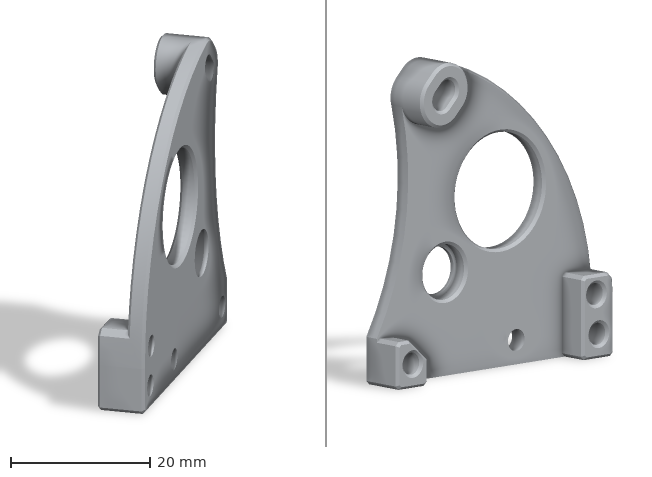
import cadquery as cq
import math

WIDTH = 42.15
HEIGHT = 46.5
DEPTH = 7.05
PAD_HEIGHT = 4.4
EDGE_CHAMFER = 0.4
CORNER_CHAMFER = 0.55

BOSS_DIAMETER = 8.1
SLOT_WIDTH = 3.2
SLOT_TRAVEL = 1.2
BOSS_REACH = BOSS_DIAMETER / 2
BOSS_LEFT = 4.7
BOSS_LOW = (BOSS_LEFT + BOSS_REACH, HEIGHT - BOSS_REACH - SLOT_TRAVEL)
BOSS_HIGH = (BOSS_LOW[0] + SLOT_TRAVEL, BOSS_LOW[1] + SLOT_TRAVEL)

SIDE_HEIGHT = 7.0
OUTER_ARC_MIDDLE = (34.15, 31.4)
OUTER_ARC_END_ANGLE = 75
INNER_ARC_MIDDLE = (6.1, 29.3)
INNER_ARC_END_ANGLE = 196

SMALL_BLOCK_WIDTH = 6.0
SMALL_BLOCK_TOP_WIDTH = 2.45
SMALL_BLOCK_SHOULDER = 3.8
TALL_BLOCK_START = 35.95
TALL_BLOCK_HEIGHT = 12.3
TALL_BLOCK_CORNER = 1.1
TRIM_MARGIN = 0.45

SCREW_DIAMETER = 3.2
SCREW_ROW_HEIGHT = 3.55
BLOCK_HOLES = [(3.0, SCREW_ROW_HEIGHT), (39.1, SCREW_ROW_HEIGHT), (38.6, 9.4)]
PLAIN_HOLE = (27.07, SCREW_ROW_HEIGHT)
WINDOW_CENTRE = (23.95, 25.7)
WINDOW_DIAMETER = 17.0
BEARING_CENTRE = (13.25, 15.05)
BEARING_DIAMETER = 8.1
BEARING_BORE = 7.0
BEARING_DEPTH = 2.0


def at(point):
    """Turn (distance from the Y = 0 side, Z) into YZ coordinates."""
    return (-point[0], point[1])


def on_boss(centre, angle):
    """Point on the boss side wall, in YZ; 0 degrees points along -Y and 90 degrees along +Z."""
    turn = math.radians(angle)
    return at((centre[0] + BOSS_REACH * math.cos(turn), centre[1] + BOSS_REACH * math.sin(turn)))


def sketch_plane(x):
    return cq.Workplane("YZ", origin=(x, 0, 0))


def outline_below_boss(x):
    """Open plate outline, from the boss end of the inner arc around to that of the outer arc."""
    return (
        sketch_plane(x)
        .moveTo(*on_boss(BOSS_LOW, INNER_ARC_END_ANGLE))
        .threePointArc(at(INNER_ARC_MIDDLE), at((0, SIDE_HEIGHT)))
        .lineTo(*at((0, CORNER_CHAMFER)))
        .lineTo(*at((CORNER_CHAMFER, 0)))
        .lineTo(*at((WIDTH - CORNER_CHAMFER, 0)))
        .lineTo(*at((WIDTH, CORNER_CHAMFER)))
        .lineTo(*at((WIDTH, SIDE_HEIGHT)))
        .threePointArc(at(OUTER_ARC_MIDDLE), on_boss(BOSS_HIGH, OUTER_ARC_END_ANGLE))
    )


def envelope():
    """Whole outline, rounded around the boss, at full depth with its back edge chamfered."""
    return (
        outline_below_boss(0)
        .threePointArc(on_boss(BOSS_HIGH, 105), on_boss(BOSS_HIGH, 135))
        .lineTo(*on_boss(BOSS_LOW, 135))
        .threePointArc(on_boss(BOSS_LOW, 165), on_boss(BOSS_LOW, INNER_ARC_END_ANGLE))
        .close()
        .extrude(DEPTH)
        .faces(">X").edges().chamfer(EDGE_CHAMFER)
    )


def plate():
    """Plate up to the boss, with the front edge of its outer arc chamfered."""
    outer_arc = cq.selectors.NearestToPointSelector((PAD_HEIGHT, *at(OUTER_ARC_MIDDLE)))
    return (
        outline_below_boss(PAD_HEIGHT)
        .lineTo(*at(BOSS_HIGH))
        .lineTo(*at(BOSS_LOW))
        .close()
        .extrude(DEPTH - PAD_HEIGHT)
        .faces("<X").edges(outer_arc).chamfer(EDGE_CHAMFER)
    )


def stadium(diameter, x, depth, taper=0):
    """Stadium prism around the two boss centres."""
    middle = ((BOSS_LOW[0] + BOSS_HIGH[0]) / 2, (BOSS_LOW[1] + BOSS_HIGH[1]) / 2)
    length = diameter + SLOT_TRAVEL * math.sqrt(2)
    return sketch_plane(x).center(*at(middle)).slot2D(length, diameter, 135).extrude(depth, taper=taper)


def block(points):
    """Block trimmed to the plate outline, with its front face chamfered."""
    prism = sketch_plane(0).polyline([at(p) for p in points]).close().extrude(DEPTH)
    return prism.intersect(envelope()).faces("<X").edges().chamfer(EDGE_CHAMFER)


def small_block():
    return block([
        (0, 0),
        (SMALL_BLOCK_WIDTH - CORNER_CHAMFER, 0),
        (SMALL_BLOCK_WIDTH, CORNER_CHAMFER),
        (SMALL_BLOCK_WIDTH, SMALL_BLOCK_SHOULDER),
        (SMALL_BLOCK_TOP_WIDTH, SIDE_HEIGHT),
        (CORNER_CHAMFER, SIDE_HEIGHT),
        (0, SIDE_HEIGHT - CORNER_CHAMFER),
    ])


def tall_block():
    return block([
        (TALL_BLOCK_START + CORNER_CHAMFER, 0),
        (WIDTH + TRIM_MARGIN, 0),
        (WIDTH + TRIM_MARGIN, TALL_BLOCK_HEIGHT - TALL_BLOCK_CORNER - TRIM_MARGIN),
        (WIDTH - TALL_BLOCK_CORNER, TALL_BLOCK_HEIGHT),
        (TALL_BLOCK_START + CORNER_CHAMFER, TALL_BLOCK_HEIGHT),
        (TALL_BLOCK_START, TALL_BLOCK_HEIGHT - CORNER_CHAMFER),
        (TALL_BLOCK_START, CORNER_CHAMFER),
    ])


def bore(centre, diameter, x=0, depth=DEPTH):
    return sketch_plane(x).center(*at(centre)).circle(diameter / 2).extrude(depth)


def chamfered_bore(centre, diameter, x, depth):
    """Bore that opens on a front face at x, widened there by the edge chamfer."""
    mouth = (
        sketch_plane(x).center(*at(centre)).circle(diameter / 2 + EDGE_CHAMFER)
        .extrude(EDGE_CHAMFER, taper=45)
    )
    return bore(centre, diameter, x, depth).union(mouth)


boss = stadium(BOSS_DIAMETER, 0, DEPTH).faces("<X").edges().chamfer(EDGE_CHAMFER)
body = plate().union(boss).union(small_block()).union(tall_block())
body = body.intersect(envelope()).clean()

slot = stadium(SLOT_WIDTH, 0, DEPTH)
slot_mouth = stadium(SLOT_WIDTH + 2 * EDGE_CHAMFER, 0, EDGE_CHAMFER, taper=45)
body = body.cut(slot).cut(slot_mouth)

for hole in BLOCK_HOLES:
    body = body.cut(chamfered_bore(hole, SCREW_DIAMETER, 0, DEPTH))
body = body.cut(bore(PLAIN_HOLE, SCREW_DIAMETER))
body = body.cut(chamfered_bore(WINDOW_CENTRE, WINDOW_DIAMETER, PAD_HEIGHT, DEPTH - PAD_HEIGHT))
back_mouth = (
    sketch_plane(DEPTH).center(*at(WINDOW_CENTRE)).circle(WINDOW_DIAMETER / 2 + EDGE_CHAMFER)
    .extrude(-EDGE_CHAMFER, taper=45)
)
body = body.cut(back_mouth)
body = body.cut(chamfered_bore(BEARING_CENTRE, BEARING_DIAMETER, PAD_HEIGHT, BEARING_DEPTH))
body = body.cut(bore(BEARING_CENTRE, BEARING_BORE))

result = body